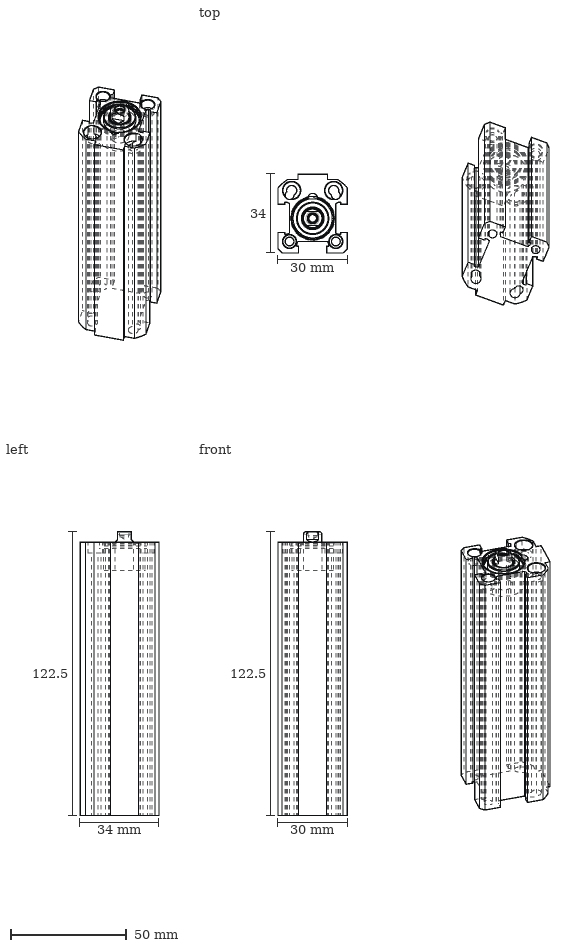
import cadquery as cq
import math

total_height = 122.5
body_height = 118.0
body_width = 30.0
front_y = -body_width / 2
body_depth = 34.0
boss_back_y = front_y + body_depth
back_y = 16.8
back_corner_radius = 20.0
front_chamfer = 1.8

back_boss_width = 12.9
groove_mouth_width = 12.1
groove_floor = 10.0
groove_floor_width = 12.7
undercut_width = 13.7
undercut_start = 11.0
undercut_end = 12.0

corner_hole_pitch = 20.0
corner_hole_diameter = 3.7
corner_counterbore_diameter = 5.6
bolt_hole_x = 9.1
bolt_hole_y = 12.0
bolt_hole_diameter = 4.3
bolt_counterbore_diameter = 7.5
counterbore_depth = 4.8
counterbore_chamfer = 0.2

bore_diameter = 17.9
bore_mouth_diameter = 18.6
bore_mouth_depth = 0.4
bore_depth = 12.2
notch_diameter = 4.2
notch_y = 8.7

ring_inner_diameter = 16.9
ring_outer_diameter = 19.0
ring_thickness = 1.0
ring_recess = 1.7

cover_recess = ring_recess + ring_thickness
cover_boss_diameter = 14.0
cover_boss_recess = 0.1
cover_boss_chamfer = 0.4
seal_seat_diameter = 9.8
seal_seat_depth = 2.5

seal_recess = 0.4
seal_lip_height = 0.7
seal_lip_base_diameter = 9.2
seal_lip_top_diameter = 8.5

rod_diameter = 8.0
rod_end_radius = 1.15
flat_across = 6.0
flat_height = 3.4
rod_hole_mouth_diameter = 4.7
rod_hole_diameter = 4.2
rod_hole_depth = 1.7
pilot_diameter = 3.7
pilot_depth = 2.2
drill_point_diameter = 3.2
drill_point_depth = 1.0

ring_bottom = body_height - cover_recess
ring_top = body_height - ring_recess
bore_bottom = body_height - bore_depth
cover_top = body_height - cover_boss_recess


def cylinder(diameter, bottom, top):
    return cq.Workplane("XY").workplane(offset=bottom).circle(diameter / 2).extrude(top - bottom)


def revolve_profile(points):
    """Solid of revolution about Z from (radius, height) points."""
    return cq.Workplane("XZ").polyline(points).close().revolve(360, (0, 0, 0), (0, 1, 0))


def extruded_outline():
    """Body cross-section with a back strip, rounded back corners and front chamfers."""
    side_x = body_width / 2
    arc_start_y = math.sqrt(back_corner_radius**2 - side_x**2)
    arc_end_x = math.sqrt(back_corner_radius**2 - back_y**2)
    diagonal = back_corner_radius / math.sqrt(2)
    boss_x = back_boss_width / 2
    return (
        cq.Workplane("XY")
        .moveTo(0, front_y)
        .lineTo(side_x - front_chamfer, front_y)
        .lineTo(side_x, front_y + front_chamfer)
        .lineTo(side_x, arc_start_y)
        .threePointArc((diagonal, diagonal), (arc_end_x, back_y))
        .lineTo(boss_x, back_y)
        .lineTo(boss_x, boss_back_y)
        .lineTo(0, boss_back_y)
        .mirrorY()
        .extrude(body_height)
    )


def sensor_groove(turn):
    """Groove with undercut walls, cut from the +X face and turned about Z."""
    side_x = body_width / 2
    groove = (
        cq.Workplane("XY")
        .moveTo(groove_floor, 0)
        .lineTo(groove_floor, groove_floor_width / 2)
        .lineTo(undercut_start, undercut_width / 2)
        .lineTo(undercut_end, undercut_width / 2)
        .lineTo(undercut_end, groove_mouth_width / 2)
        .lineTo(side_x, groove_mouth_width / 2)
        .lineTo(side_x, 0)
        .mirrorX()
        .extrude(body_height)
    )
    return groove.rotate((0, 0, 0), (0, 0, 1), turn)


def counterbore(diameter):
    """Tool for a counterbore in the top face with a chamfered rim."""
    inner = diameter / 2
    outer = inner + counterbore_chamfer
    return revolve_profile([
        (0, body_height - counterbore_depth), (inner, body_height - counterbore_depth),
        (inner, body_height - counterbore_chamfer), (outer, body_height), (0, body_height),
    ])


def cut_mounting_holes(body):
    corner = corner_hole_pitch / 2
    corner_hole = cylinder(corner_hole_diameter, 0, body_height)
    front_hole = corner_hole.union(counterbore(corner_counterbore_diameter))
    bolt_hole = cylinder(bolt_hole_diameter, 0, body_height).union(counterbore(bolt_counterbore_diameter))
    for side in (-1, 1):
        body = body.cut(corner_hole.translate((side * corner, corner, 0)))
        body = body.cut(front_hole.translate((side * corner, -corner, 0)))
        body = body.cut(bolt_hole.translate((side * bolt_hole_x, bolt_hole_y, 0)))
    return body


def make_housing():
    """Grooved body with mounting holes and a blind bore for the rod cover."""
    body = extruded_outline()
    for turn in (0, 180, 270):
        body = body.cut(sensor_groove(turn))
    body = cut_mounting_holes(body)
    body = body.cut(cylinder(bore_diameter, bore_bottom, body_height))
    body = body.cut(cylinder(bore_mouth_diameter, body_height - bore_mouth_depth, body_height))
    body = body.cut(cylinder(ring_outer_diameter, ring_bottom, ring_top))
    return body.cut(cylinder(notch_diameter, ring_bottom, body_height).translate((0, notch_y, 0)))


def make_retaining_ring():
    """Flat ring seated in the groove of the bore, on top of the rod cover."""
    return cylinder(ring_outer_diameter, ring_bottom, ring_top).cut(
        cylinder(ring_inner_diameter, ring_bottom, ring_top)
    )


def make_rod_cover():
    """Plug in the bore with a raised boss, a rod passage and a seal seat."""
    cover = cylinder(bore_diameter, bore_bottom, ring_bottom)
    boss = cylinder(cover_boss_diameter, ring_bottom, cover_top).faces(">Z").chamfer(cover_boss_chamfer)
    cover = cover.union(boss).cut(cylinder(rod_diameter, bore_bottom, cover_top))
    return cover.cut(cylinder(seal_seat_diameter, cover_top - seal_seat_depth, cover_top))


def make_rod_seal():
    """Wiper ring with a conical lip around the rod."""
    inner = rod_diameter / 2
    outer = seal_seat_diameter / 2
    bottom = cover_top - seal_seat_depth
    lip_top = cover_top - seal_recess
    lip_bottom = lip_top - seal_lip_height
    return revolve_profile([
        (inner, bottom),
        (outer, bottom),
        (outer, lip_bottom),
        (seal_lip_base_diameter / 2, lip_bottom),
        (seal_lip_top_diameter / 2, lip_top),
        (inner, lip_top),
    ])


def rod_end_hole():
    """Stepped blind hole with a chamfered mouth and a conical tip."""
    mouth = rod_hole_mouth_diameter / 2
    hole = rod_hole_diameter / 2
    pilot = pilot_diameter / 2
    hole_floor = total_height - rod_hole_depth
    pilot_floor = total_height - pilot_depth
    return revolve_profile([
        (0, total_height),
        (mouth, total_height),
        (hole, total_height - (mouth - hole)),
        (hole, hole_floor),
        (pilot, hole_floor),
        (pilot, pilot_floor),
        (drill_point_diameter / 2, pilot_floor),
        (0, pilot_floor - drill_point_depth),
    ])


def make_rod():
    """Rod with a rounded end and two wrench flats that run out in 45 degree ramps."""
    rod = cylinder(rod_diameter, bore_bottom, total_height)
    rod = rod.faces(">Z").edges().fillet(rod_end_radius)
    flat_y = flat_across / 2
    ramp = rod_diameter / 2 - flat_y
    flat_bottom = total_height - flat_height
    flat_cut = (
        cq.Workplane("YZ")
        .moveTo(flat_y, total_height)
        .lineTo(flat_y, flat_bottom)
        .lineTo(flat_y + ramp, flat_bottom - ramp)
        .lineTo(flat_y + ramp, total_height)
        .close()
        .extrude(rod_diameter / 2, both=True)
    )
    rod = rod.cut(flat_cut).cut(flat_cut.mirror("XZ"))
    return rod.cut(rod_end_hole())


housing = make_housing()
retaining_ring = make_retaining_ring()
rod_cover = make_rod_cover()
rod_seal = make_rod_seal()
rod = make_rod()

result = cq.Compound.makeCompound(
    [housing.val(), retaining_ring.val(), rod_cover.val(), rod_seal.val(), rod.val()]
)